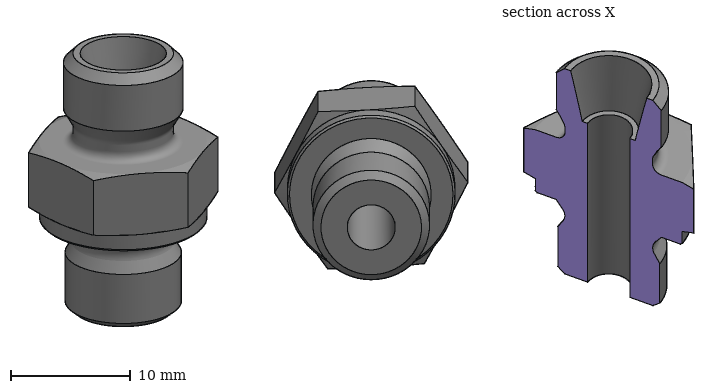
import cadquery as cq
import math

TOTAL_HEIGHT = 23.0
LOWER_BODY_TOP = 5.01
LOWER_NECK_START = 5.98
LOWER_NECK_END = 7.04
FLANGE_BOTTOM = 7.98
HEX_BOTTOM = 9.48
HEX_TOP = 15.0
UPPER_BODY_BOTTOM = 18.05

NECK_RADIUS = 8.4 / 2
UPPER_RADIUS = 10.0 / 2
LOWER_RADIUS = 9.73 / 2
FLANGE_RADIUS = 14.0 / 2
BORE_RADIUS = 4.0 / 2
SEAT_BOTTOM_RADIUS = 5.0 / 2
SEAT_MOUTH_RADIUS = 7.2 / 2

NECK_FILLET = 0.8
NECK_ARC_DEPTH = 0.12
UPPER_CHAMFER = 0.8
LOWER_CHAMFER_HEIGHT = 0.58
LOWER_CHAMFER_WIDTH = 0.67
FLANGE_CHAMFER = 0.18
RUNOUT_ANGLE = math.radians(30)
HEX_CHAMFER_ANGLE = math.radians(15)
SEAT_HALF_ANGLE = math.radians(12)


def make_lower_stud():
    """Lower body, waisted neck and round flange, reaching up to the hexagon."""
    neck_edge_radius = NECK_RADIUS + NECK_ARC_DEPTH
    neck_middle = (LOWER_NECK_START + LOWER_NECK_END) / 2
    return (
        cq.Workplane("XZ")
        .moveTo(0, 0)
        .lineTo(LOWER_RADIUS - LOWER_CHAMFER_WIDTH, 0)
        .lineTo(LOWER_RADIUS, LOWER_CHAMFER_HEIGHT)
        .lineTo(LOWER_RADIUS, LOWER_BODY_TOP)
        .lineTo(neck_edge_radius, LOWER_NECK_START)
        .threePointArc((NECK_RADIUS, neck_middle), (neck_edge_radius, LOWER_NECK_END))
        .lineTo(UPPER_RADIUS, FLANGE_BOTTOM)
        .lineTo(FLANGE_RADIUS - FLANGE_CHAMFER, FLANGE_BOTTOM)
        .lineTo(FLANGE_RADIUS, FLANGE_BOTTOM + FLANGE_CHAMFER)
        .lineTo(FLANGE_RADIUS, HEX_BOTTOM)
        .lineTo(0, HEX_BOTTOM)
        .close()
        .revolve(360, (0, 0, 0), (0, 1, 0))
    )


def make_hexagon():
    """Hexagon with flats facing +X and -X and both faces chamfered by a cone."""
    height = HEX_TOP - HEX_BOTTOM
    corner_radius = FLANGE_RADIUS / math.cos(math.radians(30))
    chamfer_height = (corner_radius - FLANGE_RADIUS) * math.tan(HEX_CHAMFER_ANGLE)
    prism = (
        cq.Workplane("XY", origin=(0, 0, HEX_BOTTOM))
        .polygon(6, 2 * corner_radius)
        .extrude(height)
        .rotate((0, 0, 0), (0, 0, 1), 30)
    )
    envelope = (
        cq.Workplane("XZ")
        .moveTo(0, HEX_BOTTOM)
        .lineTo(FLANGE_RADIUS, HEX_BOTTOM)
        .lineTo(corner_radius, HEX_BOTTOM + chamfer_height)
        .lineTo(corner_radius, HEX_TOP - chamfer_height)
        .lineTo(FLANGE_RADIUS, HEX_TOP)
        .lineTo(0, HEX_TOP)
        .close()
        .revolve(360, (0, 0, 0), (0, 1, 0))
    )
    return prism.intersect(envelope)


def make_upper_stud():
    """Upper body with a neck that blends into the hexagon and the run-out cone."""
    fillet_diagonal = NECK_FILLET * math.sqrt(0.5)
    base_fillet_middle = (
        NECK_RADIUS + NECK_FILLET - fillet_diagonal,
        HEX_TOP + NECK_FILLET - fillet_diagonal,
    )

    cone_start_radius = NECK_RADIUS + NECK_FILLET * (1 - math.cos(RUNOUT_ANGLE))
    cone_height = (UPPER_RADIUS - cone_start_radius) / math.tan(RUNOUT_ANGLE)
    cone_start = UPPER_BODY_BOTTOM - cone_height
    neck_top = cone_start - NECK_FILLET * math.sin(RUNOUT_ANGLE)
    blend_middle = (
        NECK_RADIUS + NECK_FILLET * (1 - math.cos(RUNOUT_ANGLE / 2)),
        neck_top + NECK_FILLET * math.sin(RUNOUT_ANGLE / 2),
    )
    return (
        cq.Workplane("XZ")
        .moveTo(0, HEX_TOP)
        .lineTo(NECK_RADIUS + NECK_FILLET, HEX_TOP)
        .threePointArc(base_fillet_middle, (NECK_RADIUS, HEX_TOP + NECK_FILLET))
        .lineTo(NECK_RADIUS, neck_top)
        .threePointArc(blend_middle, (cone_start_radius, cone_start))
        .lineTo(UPPER_RADIUS, UPPER_BODY_BOTTOM)
        .lineTo(UPPER_RADIUS, TOTAL_HEIGHT - UPPER_CHAMFER)
        .lineTo(UPPER_RADIUS - UPPER_CHAMFER, TOTAL_HEIGHT)
        .lineTo(0, TOTAL_HEIGHT)
        .close()
        .revolve(360, (0, 0, 0), (0, 1, 0))
    )


def make_bore():
    """Through bore opening at the top into a conical tube seat."""
    seat_depth = (SEAT_MOUTH_RADIUS - SEAT_BOTTOM_RADIUS) / math.tan(SEAT_HALF_ANGLE)
    seat_bottom = TOTAL_HEIGHT - seat_depth
    return (
        cq.Workplane("XZ")
        .moveTo(0, 0)
        .lineTo(BORE_RADIUS, 0)
        .lineTo(BORE_RADIUS, seat_bottom)
        .lineTo(SEAT_BOTTOM_RADIUS, seat_bottom)
        .lineTo(SEAT_MOUTH_RADIUS, TOTAL_HEIGHT)
        .lineTo(0, TOTAL_HEIGHT)
        .close()
        .revolve(360, (0, 0, 0), (0, 1, 0))
    )


result = make_lower_stud().union(make_hexagon()).union(make_upper_stud()).cut(make_bore())